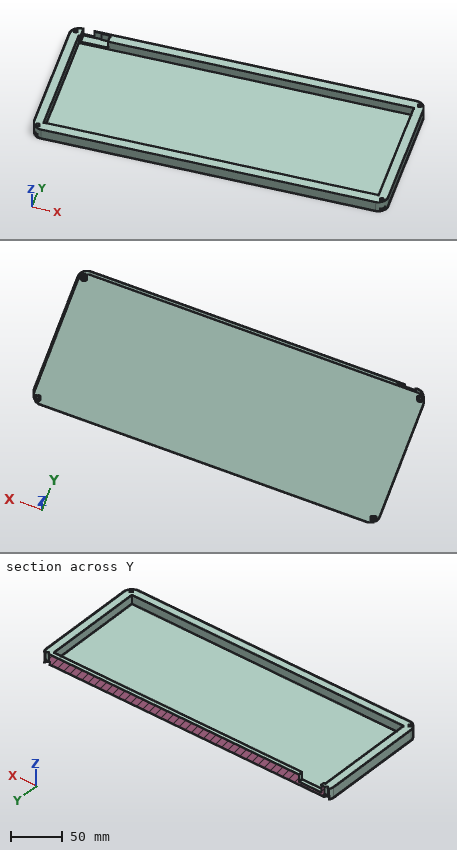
import cadquery as cq

length = 356.5
width = 139.0
height = 13.0
corner_radius = 10.0

rim = 9.5
floor_thickness = 2.0

hole_diameter = 3.4
hole_inset = 5.0
head_diameter = 6.0
head_depth = 3.0

pocket_start = 11.5
pocket_length = 27.5
pocket_floor = 4.3
pocket_wall = 1.5

thin_length = 18.5
thin_wall = 0.7

opening_length = 11.0
sill_height = 1.0


def box_between(x_range, y_range, z_range):
    """Axis-aligned box spanning the given coordinate ranges."""
    x_min, x_max = x_range
    y_min, y_max = y_range
    z_min, z_max = z_range
    return cq.Workplane("XY").box(
        x_max - x_min, y_max - y_min, z_max - z_min, centered=False
    ).translate((x_min, y_min, z_min))


def tray():
    """Rounded slab with a rectangular recess open at the top."""
    slab = cq.Workplane("XY").box(length, width, height, centered=(True, True, False))
    slab = slab.edges("|Z").fillet(corner_radius)
    recess = (
        cq.Workplane("XY")
        .workplane(offset=floor_thickness)
        .rect(length - 2 * rim, width - 2 * rim)
        .extrude(height - floor_thickness)
    )
    return slab.cut(recess)


def screw_cutter():
    """Through hole and head recess for one screw, centred on the Z axis."""
    hole = cq.Workplane("XY").circle(hole_diameter / 2).extrude(height)
    head = cq.Workplane("XY").circle(head_diameter / 2).extrude(head_depth)
    return hole.union(head)


def rim_pocket():
    """Pocket in the back rim together with its opening to the outside."""
    left = -length / 2 + pocket_start
    back = width / 2
    recess_edge = back - rim
    levels = (pocket_floor, height)
    pocket = box_between((left, left + pocket_length), (recess_edge, back - pocket_wall), levels)
    thinning = box_between((left, left + thin_length), (recess_edge, back - thin_wall), levels)
    opening = box_between(
        (left, left + opening_length), (recess_edge, back), (pocket_floor + sill_height, height)
    )
    return pocket.union(thinning).union(opening)


result = tray().cut(rim_pocket())
for x_side in (-1, 1):
    for y_side in (-1, 1):
        x_hole = x_side * (length / 2 - hole_inset)
        y_hole = y_side * (width / 2 - hole_inset)
        result = result.cut(screw_cutter().translate((x_hole, y_hole, 0)))